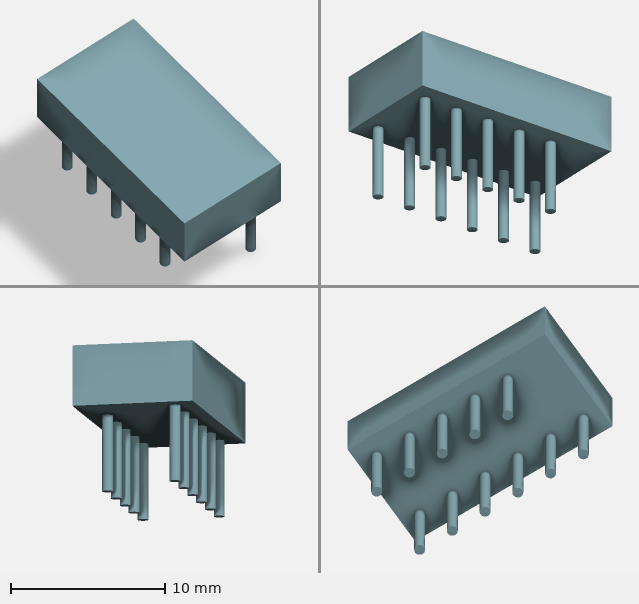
import cadquery as cq

body_length = 15.3
body_width = 8.0
total_height = 9.0
pin_length = 5.0
body_height = total_height - pin_length

pin_diameter = 0.7
pin_pitch = 2.54
row_spacing = 2 * pin_pitch
positions_per_row = 6
front_row_pins = 5
back_row_pins = positions_per_row


def make_body():
    """Plain block with its underside at Z = 0."""
    return cq.Workplane("XY").box(
        body_length, body_width, body_height, centered=(True, True, False)
    )


def make_pin_row(row_y, pin_count):
    """Pins hanging from the underside, filled from the -X end of the row."""
    first_x = -pin_pitch * (positions_per_row - 1) / 2
    centers = [(first_x + i * pin_pitch, row_y) for i in range(pin_count)]
    return cq.Workplane("XY").pushPoints(centers).circle(pin_diameter / 2).extrude(-pin_length)


front_row = make_pin_row(-row_spacing / 2, front_row_pins)
back_row = make_pin_row(row_spacing / 2, back_row_pins)
result = make_body().union(front_row).union(back_row)